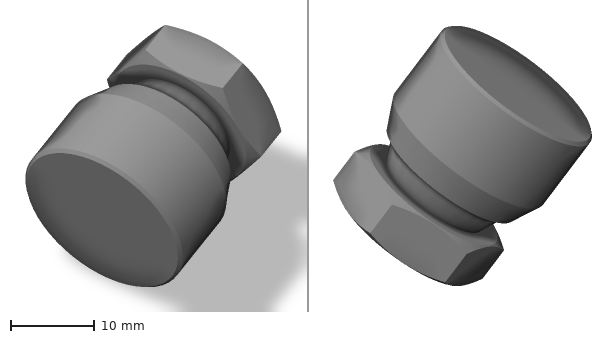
import cadquery as cq
import math

total_length = 23.88
hex_thickness = 6.35
shoulder_y = 10.22
step_y = 14.02
hex_start_y = total_length - hex_thickness

body_radius = 22.35 / 2
front_chamfer = 0.4
shoulder_end_radius = 9.42
neck_front_radius = 8.62
neck_hex_radius = 7.06

across_flats = 19.05
corner_radius = across_flats / 2 / math.cos(math.pi / 6)
chamfer_circle_radius = 9.4
chamfer_angle = math.radians(30)
corner_chamfer_depth = (corner_radius - chamfer_circle_radius) * math.tan(chamfer_angle)


def revolve_about_y(profile):
    """Turn a list of (radius, y) points into a solid about the Y axis."""
    return cq.Workplane("XY").polyline(profile).close().revolve(360, (0, 0, 0), (0, 1, 0))


def make_body():
    """Chamfered cylinder with a conical shoulder, a step and a conical neck."""
    return revolve_about_y([
        (0, 0),
        (body_radius - front_chamfer, 0),
        (body_radius, front_chamfer),
        (body_radius, shoulder_y),
        (shoulder_end_radius, step_y),
        (neck_front_radius, step_y),
        (neck_hex_radius, hex_start_y),
        (0, hex_start_y),
    ])


def make_hex_head():
    """Hexagonal prism with its corners cut by a cone at both ends."""
    prism = (
        cq.Workplane("XZ", origin=(0, hex_start_y, 0))
        .polygon(6, 2 * corner_radius)
        .extrude(-hex_thickness)
    )
    corner_envelope = revolve_about_y([
        (0, hex_start_y),
        (chamfer_circle_radius, hex_start_y),
        (corner_radius, hex_start_y + corner_chamfer_depth),
        (corner_radius, total_length - corner_chamfer_depth),
        (chamfer_circle_radius, total_length),
        (0, total_length),
    ])
    return prism.intersect(corner_envelope)


result = make_body().union(make_hex_head())